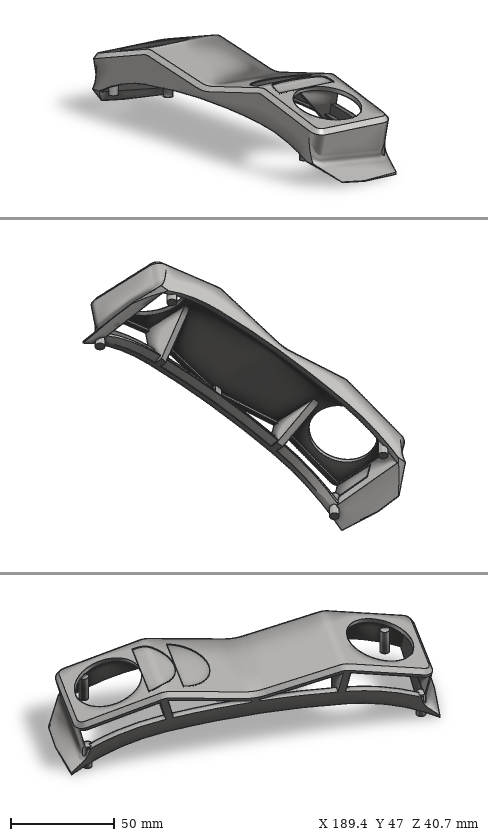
import cadquery as cq
import math

depth = 47.0
wall = 2.3
crest_x = 44.9
crest_z = 41.0
inner_slope = 11.3
outer_slope = 15.1
end_x = 90.2
end_lean = 13.5
crest_radius = 10.0
valley_radius = 24.6
corner_radius = 5.7
edge_chamfer = 2.3

under_back_z = 20.0
under_fall = 7
middle_radius = 416.8
middle_half = 45.5
outer_radius = 101.4
under_half = 98.5

hole_diameter = 33.7
hole_x = 68.0
recess_depth = 0.5
recess_chords = (34.5, 51.7)

rail_width = 3.2
rail_height = 7.5
lip_reach = 3.0
lip_height = 2.3
lip_fall = 22
window_drop = 3.8
post_width = 4.2
post_reach = 1.0
gusset_x = 41.7
gusset_width = 3.8
gusset_toe = 36

tab_root = (73.9, -0.5)
tab_slope = 1
tab_tip_x = 94.7
tab_back_x = 92.0
tab_taper_y = 1.9
tab_blend = 5.7
slant_low = (-8.5, 0)
slant_high = (-23.5, 12.1)

pin_diameter = 4.7
pin_length = 13.3
front_pin = (75.2, -19.7, 11.2)
back_pin = (83.4, 20.3, 1.7)

half_depth = depth / 2
below = -37.9
beyond = 113.7


def drop(run, degrees):
    """Height lost over a horizontal run."""
    return run * math.tan(math.radians(degrees))


def around(x, z, reach):
    """Selects edges centred near (x, z), at any Y."""
    return cq.selectors.BoxSelector((x - reach, -depth, z - reach), (x + reach, depth, z + reach))


def slab(y_from, y_to):
    """Oversized block between two Y positions."""
    block = cq.Workplane("XY").box(2 * beyond, y_to - y_from, 2 * beyond)
    return block.translate((0, (y_from + y_to) / 2, 0))


def roof_prism(inset, y_from, y_to):
    """Body section moved inwards by `inset`, between two Y positions."""
    inner_cos = math.cos(math.radians(inner_slope))
    outer_cos = math.cos(math.radians(outer_slope))
    lean_cos = math.cos(math.radians(end_lean))
    inner_tan = drop(1, inner_slope)
    outer_tan = drop(1, outer_slope)
    lean_tan = drop(1, end_lean)

    valley_z = crest_z - crest_x * inner_tan - inset / inner_cos
    top_x = crest_x + inset * (1 / inner_cos - 1 / outer_cos) / (inner_tan + outer_tan)
    top_z = valley_z + top_x * inner_tan
    sink = inset / outer_cos
    run = inset / lean_cos
    shift = (run + (sink - run * outer_tan) * lean_tan / (1 - lean_tan * outer_tan)
             if inset else 0)
    corner_x = end_x - shift
    corner_z = crest_z - (corner_x - crest_x) * outer_tan - sink
    foot_x = corner_x - (corner_z - below) * lean_tan

    half = [(top_x, top_z), (corner_x, corner_z), (foot_x, below)]
    mirrored = [(-x, z) for x, z in reversed(half)]
    prism = (
        cq.Workplane("XZ", origin=(0, y_from, 0))
        .polyline([*mirrored, (0, valley_z), *half]).close()
        .extrude(y_from - y_to)
    )
    prism = prism.edges("|Y").edges(cq.selectors.NearestToPointSelector((0, 0, valley_z))).fillet(valley_radius)
    for x in (-top_x, top_x):
        prism = prism.edges("|Y").edges(around(x, top_z, 1.9)).fillet(crest_radius - inset)
    return prism


def tilted_plane(fall):
    """Sketch plane in front of the body, square to a surface falling towards the back."""
    angle = math.radians(fall)
    plane = cq.Plane(origin=(0, half_depth, under_back_z), xDir=(1, 0, 0),
                     normal=(0, -math.cos(angle), math.sin(angle)))
    return cq.Workplane(plane).workplane(offset=-depth)


def under_space(lift, fall=under_fall):
    """Everything below the underside surface raised by `lift`."""
    middle = middle_radius + lift
    outer = outer_radius + lift
    join_angle = math.asin(middle_half / middle_radius)
    join_x = middle * math.sin(join_angle)
    join_z = lift - middle * (1 - math.cos(join_angle))
    centre_x = join_x - outer * math.sin(join_angle)
    centre_z = join_z - outer * math.cos(join_angle)

    def on_outer_arc(x):
        return (x, centre_z + math.sqrt(outer**2 - (x - centre_x)**2))

    end = on_outer_arc(under_half)
    halfway = on_outer_arc((join_x + under_half) / 2)
    return (
        tilted_plane(fall)
        .moveTo(-end[0], end[1])
        .threePointArc((-halfway[0], halfway[1]), (-join_x, join_z))
        .threePointArc((0, lift), (join_x, join_z))
        .threePointArc(halfway, end)
        .lineTo(under_half, 2 * below)
        .lineTo(-under_half, 2 * below)
        .close()
        .extrude(3 * depth)
    )


def outer_body():
    """Solid body with rounded uprights and a chamfered roof rim."""
    body = roof_prism(0, -half_depth, half_depth)
    foot_z = (crest_z + below) / 2
    for x in (-end_x, end_x):
        body = body.edges(around(x, foot_z, 22.7)).edges("not (|X or |Y)").fillet(corner_radius)
    rim = cq.selectors.BoxSelector((-beyond, -depth, 26.5), (beyond, depth, beyond))
    return body.edges(rim).edges("(not |Y) or <X or >X").chamfer(edge_chamfer)


def add_tab(body, side):
    """Body with a sloping tab at one end, rounded where the end wall meets it."""
    root_x, root_z = tab_root
    tip_z = root_z - (tab_tip_x - root_x) * tab_slope
    profile = [tab_root, (tab_tip_x, tip_z), (tab_tip_x, below), (root_x, below)]
    tab = (
        tilted_plane(under_fall)
        .polyline([(side * x, z) for x, z in profile]).close()
        .extrude(3 * depth)
        .intersect(slab(-half_depth, half_depth))
    )
    joint = cq.selectors.BoxSelector((side * 83.4, -5.7, 7.5), (side * 88.0, 5.7, 13.3))
    return body.union(tab).edges(joint).fillet(tab_blend)


def tab_taper(side):
    """Wedge taken off the tab so that it narrows towards the back."""
    outline = [(tab_back_x, half_depth), (tab_tip_x, tab_taper_y), (beyond, tab_taper_y), (beyond, half_depth)]
    return (
        cq.Workplane("XY", origin=(0, 0, below))
        .polyline([(side * x, y) for x, y in outline]).close()
        .extrude(-2 * below)
    )


def front_slant():
    """Wedge taken off the lower front corner across both tabs."""
    return (
        cq.Workplane("YZ", origin=(-beyond, 0, 0))
        .polyline([slant_low, slant_high, (-depth, slant_high[1]), (-depth, below), (slant_low[0], below)])
        .close()
        .extrude(2 * beyond)
    )


def cavity():
    """Hollow under the roof, open at the bottom and through the back window."""
    room = roof_prism(wall, -half_depth + wall, half_depth - wall)
    window = roof_prism(wall, 0, depth).translate((0, 0, wall - window_drop))
    return room.union(window.cut(under_space(rail_height)))


def back_rail():
    """Rail under the back window, with a lip along its foot and a bevelled underside."""
    rail_front = half_depth - rail_width
    rail = under_space(rail_height).intersect(slab(rail_front, half_depth))
    lip = under_space(lip_height).intersect(slab(rail_front - lip_reach, half_depth))
    return rail.union(lip).cut(under_space(0, lip_fall))


def centre_post():
    """Upright between rail and roof in the middle of the window."""
    thickness = rail_width + post_reach
    post = cq.Workplane("XY").box(post_width, thickness, 2 * crest_z)
    return post.translate((0, half_depth - thickness / 2, 0)).cut(under_space(lip_height))


def gusset(x):
    """Leaning triangular web that holds the roof over the back window."""
    blank = (
        cq.Workplane("YZ", origin=(x - gusset_width / 2, 0, 0))
        .polyline([(gusset_toe - crest_z, crest_z), (half_depth, crest_z), (half_depth, gusset_toe - half_depth)])
        .close()
        .extrude(gusset_width)
    )
    pivot = (x, 0, under_back_z)
    return blank.rotate(pivot, (x, 1, under_back_z), math.copysign(end_lean, x))


def roof_hole(side):
    """Cutter square to the outer slope of the roof."""
    surface_z = crest_z - drop(hole_x - crest_x, outer_slope)
    tilt = math.radians(outer_slope)
    plane = cq.Plane(origin=(side * hole_x, 0, surface_z), xDir=(0, 1, 0),
                     normal=(side * math.sin(tilt), 0, math.cos(tilt)))
    return cq.Workplane(plane).circle(hole_diameter / 2).extrude(2 * wall, both=True)


def half_disc(chord_x):
    """Cutter for a shallow half-round recess that follows the roof."""
    radius = hole_diameter / 2
    return (
        cq.Workplane("XY", origin=(chord_x, 0, 0))
        .moveTo(0, radius).threePointArc((-radius, 0), (0, -radius)).close()
        .extrude(2 * crest_z)
        .cut(roof_prism(recess_depth, -half_depth, half_depth))
    )


def pin(x, y, z):
    return cq.Workplane("XY", origin=(x, y, z)).circle(pin_diameter / 2).extrude(pin_length)


body = outer_body()
shell = body
for side in (-1, 1):
    shell = add_tab(shell, side).cut(tab_taper(side))
shell = shell.cut(front_slant()).cut(cavity())

frame = back_rail().union(centre_post())
for x in (-gusset_x, gusset_x):
    frame = frame.union(gusset(x))

result = shell.union(frame.intersect(body)).cut(under_space(0))
for side in (-1, 1):
    result = result.cut(roof_hole(side))
    for x, y, z in (front_pin, back_pin):
        result = result.union(pin(side * x, y, z))
for chord_x in recess_chords:
    result = result.cut(half_disc(chord_x))